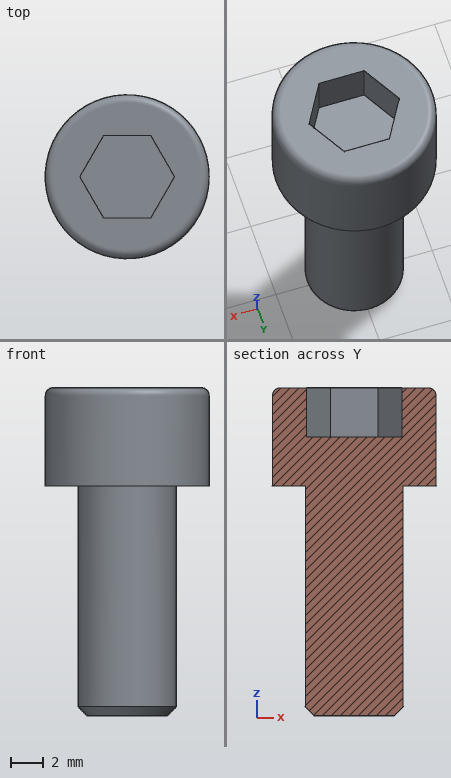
import cadquery as cq
import math

total_length = 20.0
head_diameter = 10.0
shank_diameter = 6.0
head_height = shank_diameter
head_edge_radius = 0.5
tip_chamfer = 0.55
socket_width = 5.0
socket_depth = head_height / 2

shank_length = total_length - head_height


def make_shank():
    shank = cq.Workplane("XY").circle(shank_diameter / 2).extrude(shank_length)
    return shank.faces("<Z").chamfer(tip_chamfer)


def make_head():
    head = (
        cq.Workplane("XY")
        .workplane(offset=shank_length)
        .circle(head_diameter / 2)
        .extrude(head_height)
    )
    return head.faces(">Z").edges().fillet(head_edge_radius)


def make_socket():
    across_corners = socket_width / math.cos(math.radians(30))
    return (
        cq.Workplane("XY")
        .workplane(offset=total_length)
        .polygon(6, across_corners)
        .extrude(-socket_depth)
    )


result = make_shank().union(make_head()).cut(make_socket())